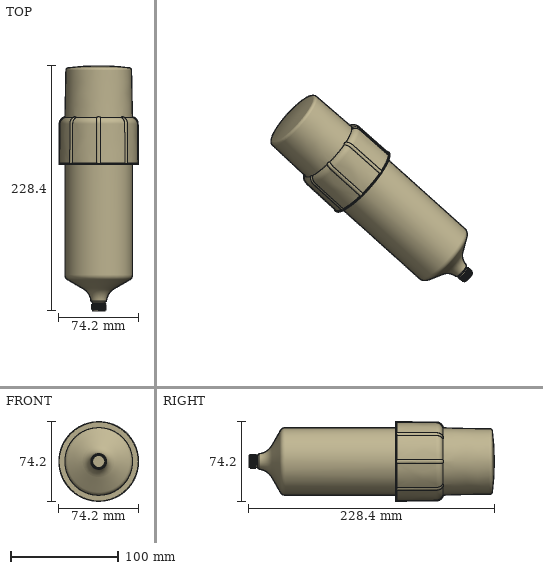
import cadquery as cq
import math

total_length = 228.35

thread_crest_radius = 6.58
thread_root_radius = 5.72
thread_pitch = 1.337
thread_start = 1.0
thread_length = 5.8
thread_flank_angle = 27.5
thread_crest_width = 0.28
thread_overlap = 0.05

neck_base = 9.4
neck_arc_radius = 15.0
cone_start_radius = 14.75
cone_start = 21.0
cone_angle = 30.0
shoulder_fillet = 5.0

body_radius = 31.5

cap_end_radius = 30.6
dome_rise = 2.1
cap_edge_fillet = 2.6

collar_bottom = 136.4
collar_top = 180.5
collar_fillet = 6.3
rim_height = 0.75
rim_bevel = 0.7
rim_radius = 37.095
collar_bottom_radius = rim_radius - rim_bevel
collar_top_radius = 36.1

rib_count = 8
rib_width = 3.6
rib_raise = 0.68


def revolve_about_y(profile):
    return profile.close().revolve(360, (0, 0), (0, 1))


def make_body():
    """Tip core, concave neck, cone and cylinder up to the collar."""
    slope = math.radians(cone_angle)
    arc_centre_radius = cone_start_radius + neck_arc_radius * math.sin(slope)
    arc_centre = cone_start - neck_arc_radius * math.cos(slope)

    def neck_point(angle):
        return (
            arc_centre_radius - neck_arc_radius * math.cos(angle),
            arc_centre + neck_arc_radius * math.sin(angle),
        )

    base_angle = math.asin((neck_base - arc_centre) / neck_arc_radius)
    top_angle = math.pi / 2 - slope
    neck_base_radius = neck_point(base_angle)[0]
    chamfer_bottom = neck_base - (neck_base_radius - thread_root_radius)
    sharp_corner = cone_start + (body_radius - cone_start_radius) * math.tan(slope)
    fillet_centre = sharp_corner + shoulder_fillet * math.tan(top_angle / 2)

    def shoulder_point(angle):
        return (
            body_radius - shoulder_fillet + shoulder_fillet * math.cos(angle),
            fillet_centre + shoulder_fillet * math.sin(angle),
        )

    return revolve_about_y(
        cq.Workplane("XY")
        .lineTo(thread_root_radius, 0)
        .lineTo(thread_root_radius, chamfer_bottom)
        .lineTo(neck_base_radius, neck_base)
        .threePointArc(neck_point((base_angle + top_angle) / 2), neck_point(top_angle))
        .lineTo(*shoulder_point(slope - math.pi / 2))
        .threePointArc(shoulder_point((slope - math.pi / 2) / 2), shoulder_point(0))
        .lineTo(body_radius, collar_top)
        .lineTo(0, collar_top)
    )


def make_cap():
    """Tapered cap with a shallow domed end and a rounded edge."""
    dome_edge = total_length - dome_rise
    dome_radius = (cap_end_radius**2 + dome_rise**2) / (2 * dome_rise)
    half_radius = cap_end_radius / 2
    half_height = total_length - dome_radius + math.sqrt(dome_radius**2 - half_radius**2)
    cap = revolve_about_y(
        cq.Workplane("XY")
        .moveTo(0, collar_bottom)
        .lineTo(body_radius, collar_bottom)
        .lineTo(body_radius, collar_top)
        .lineTo(cap_end_radius, dome_edge)
        .threePointArc((half_radius, half_height), (0, total_length))
    )
    return cap.faces(">Y").edges().fillet(cap_edge_fillet)


def trace_collar_side(start, depth):
    """Line up the collar side and arc over its top edge, set in from the surface by depth."""
    fillet_radius = collar_fillet - depth
    fillet_start = collar_top - collar_fillet
    centre_radius = collar_top_radius - collar_fillet
    diagonal = fillet_radius * math.sqrt(0.5)
    side = start.lineTo(centre_radius + fillet_radius, fillet_start)
    return side.threePointArc(
        (centre_radius + diagonal, fillet_start + diagonal),
        (centre_radius, fillet_start + fillet_radius),
    )


def make_collar():
    bevel_bottom = collar_bottom + rim_height
    rim = (
        cq.Workplane("XY")
        .moveTo(0, collar_bottom)
        .lineTo(rim_radius, collar_bottom)
        .lineTo(rim_radius, bevel_bottom)
        .lineTo(collar_bottom_radius, bevel_bottom + rim_bevel)
    )
    return revolve_about_y(trace_collar_side(rim, 0).lineTo(0, collar_top))


def make_rib():
    """Round bar sunk into the collar so that only a low arched ridge stands out."""
    bar_radius = ((rib_width / 2) ** 2 + rib_raise**2) / (2 * rib_raise)
    depth = bar_radius - rib_raise
    start_radius = collar_bottom_radius - depth
    start_height = collar_bottom + rim_height
    path = trace_collar_side(cq.Workplane("XY").moveTo(start_radius, start_height), depth)
    return (
        cq.Workplane("XZ", origin=(0, start_height, 0))
        .center(start_radius, 0)
        .circle(bar_radius)
        .sweep(path)
    )


def make_thread():
    """Helical ridge with a narrow flat crest around the tip core."""
    inner_radius = thread_root_radius - thread_overlap
    flank_run = (thread_crest_radius - inner_radius) * math.tan(math.radians(thread_flank_angle))
    half_crest = thread_crest_width / 2
    half_base = half_crest + flank_run
    path = cq.Wire.makeHelix(
        thread_pitch,
        thread_length,
        thread_root_radius,
        center=cq.Vector(0, thread_start, 0),
        dir=cq.Vector(0, 1, 0),
    )
    start = path.startPoint()
    section_plane = cq.Plane(
        origin=(0, thread_start, 0),
        xDir=(start.x, 0, start.z),
        normal=(start.z, 0, -start.x),
    )
    return (
        cq.Workplane(section_plane)
        .moveTo(inner_radius, -half_base)
        .lineTo(thread_crest_radius, -half_crest)
        .lineTo(thread_crest_radius, half_crest)
        .lineTo(inner_radius, half_base)
        .close()
        .sweep(cq.Workplane(path), isFrenet=True)
    )


result = make_body().union(make_cap()).union(make_collar())
for index in range(rib_count):
    result = result.union(make_rib().rotate((0, 0, 0), (0, 1, 0), index * 360 / rib_count))
result = result.union(make_thread())